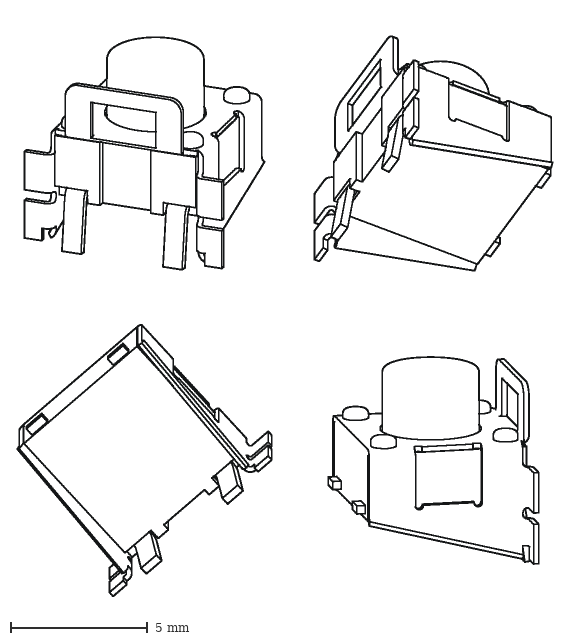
import cadquery as cq
import math


SHEET = 0.2
BEND_IN = 0.1
BEND_OUT = BEND_IN + SHEET

WALL_OUT = 3.0
WALL_IN = WALL_OUT - SHEET
BACK_Y = 2.98
WALL_FRONT_Y = -2.775
HEM_SLOPE = 15.0
HEM_START_Z = -2.47
HEM_ANGLE = 62.0
HEM_IN = 0.19
HEM_OUT = HEM_IN + SHEET
HOLE_DIA = 3.7

WINDOW_HALF = 1.25
WINDOW_BOTTOM_Z = -2.15
RELIEF_WIDTH = 0.295
RELIEF_BOTTOM_Z = -2.31
RELIEF_END_X = 2.66

FRONT_IN_Y = -2.97
FRONT_OUT_Y = FRONT_IN_Y - SHEET
FRONT_BEND_Y = FRONT_OUT_Y + BEND_OUT

TAB_HALF = 2.285
TAB_TOP_Z = 2.01
TAB_CORNER = 0.5
TAB_WINDOW_HALF = 1.28
TAB_WINDOW_TOP_Z = 1.42
FLARE_HALF = WALL_IN

SOLDER_TIP_X = 3.885
SOLDER_TOP_Z = -0.93
SOLDER_GAP_TOP_Z = -2.45
SOLDER_GAP = 0.42
SOLDER_BEND_BOTTOM_Z = -3.87
SOLDER_FOOT_Z = -4.36
SOLDER_FOOT_X = 3.21
SOLDER_NOTCH_RADIUS = 0.195

BODY_HALF_X = 2.77
BODY_TOP_Z = -SHEET
BODY_BOTTOM_Z = -2.7
RECESS_HALF = 0.995
RECESS_DEPTH = 0.25

BUTTON_DIA = 3.55
BUTTON_TOP_Z = 2.3
BUTTON_EDGE = 0.2
RIVET_PITCH = 4.58
RIVET_DIA = 0.95
SMALL_RIVET_DIA = 0.9
RIVET_TOP_Z = 0.34
RIVET_EDGE = 0.195

PIN_X = 1.99
PIN_WIDTH = 0.75
PIN_THICK = 0.3
PIN_TOP_Z = -2.2
PIN_BOTTOM_Z = -4.64
PIN_BEND_IN = 0.15
PIN_BEND_OUT = PIN_BEND_IN + PIN_THICK
PIN_TILT = math.radians(8.0)
PIN_FRONT_Y = -3.295
PIN_BACK_Y = 3.3
PIN_ROOT = 0.23
POCKET_INNER_X = 1.49


def block(x0, x1, y0, y1, z0, z1):
    """Box given by its limits along each axis."""
    return cq.Workplane("XY").box(x1 - x0, y1 - y0, z1 - z0, centered=False).translate((x0, y0, z0))


def both_sides(shape):
    """The shape together with its mirror image across the YZ plane."""
    return shape.union(shape.mirror("YZ"))


def hem_z(y):
    """Height at which the hem bend begins on the side wall."""
    return HEM_START_Z - (BACK_Y - y) * math.tan(math.radians(HEM_SLOPE))


def arc_point(centre, radius, angle):
    return (centre[0] + radius * math.cos(angle), centre[1] + radius * math.sin(angle))


def make_channel():
    """Top plate and two side walls with a sloped lower edge."""
    lowest = hem_z(WALL_FRONT_Y)
    outer = block(-WALL_OUT, WALL_OUT, WALL_FRONT_Y, BACK_Y, lowest, 0).edges("|Y and >Z").fillet(BEND_OUT)
    inner = block(-WALL_IN, WALL_IN, WALL_FRONT_Y, BACK_Y, lowest, -SHEET).edges("|Y and >Z").fillet(BEND_IN)
    below_slope = (
        cq.Workplane("YZ")
        .polyline([(BACK_Y, HEM_START_Z), (BACK_Y, lowest), (WALL_FRONT_Y, lowest)])
        .close()
        .extrude(WALL_OUT, both=True)
    )
    lip = block(-FLARE_HALF, FLARE_HALF, FRONT_BEND_Y, WALL_FRONT_Y, -SHEET, 0)
    return outer.cut(inner).cut(below_slope).union(lip)


def make_hem():
    """Lower wall edge curled outwards, following the slope (+X side)."""
    turn = math.radians(HEM_ANGLE)
    slope = math.radians(HEM_SLOPE)
    centre = (-WALL_OUT - HEM_IN, 0)
    length = (BACK_Y - WALL_FRONT_Y) / math.cos(slope)
    spare = 2 * HEM_OUT
    plane = cq.Plane(
        origin=(0, WALL_FRONT_Y, hem_z(WALL_FRONT_Y)),
        xDir=(-1, 0, 0),
        normal=(0, math.cos(slope), math.sin(slope)),
    )
    hem = (
        cq.Workplane(plane)
        .workplane(offset=-spare)
        .moveTo(-WALL_IN, 0)
        .threePointArc(arc_point(centre, HEM_OUT, -turn / 2), arc_point(centre, HEM_OUT, -turn))
        .lineTo(*arc_point(centre, HEM_IN, -turn))
        .threePointArc(arc_point(centre, HEM_IN, -turn / 2), (-WALL_OUT, 0))
        .close()
        .extrude(length + 2 * spare)
    )
    return hem.intersect(block(0, SOLDER_TIP_X, WALL_FRONT_Y, BACK_Y, PIN_BOTTOM_Z, 0))


def make_side_window():
    """Cutter for a side-wall opening with a relief slot at each end (+X side)."""
    through_top = block(WALL_IN, WALL_OUT, -WINDOW_HALF, WINDOW_HALF, WINDOW_BOTTOM_Z, 0)
    beside_body = block(
        BODY_HALF_X, WALL_OUT, -WINDOW_HALF, WINDOW_HALF, WINDOW_BOTTOM_Z, BODY_TOP_Z
    )
    opening = through_top.union(beside_body)
    radius = RELIEF_WIDTH / 2
    round_z = RELIEF_BOTTOM_Z + radius
    round_x = RELIEF_END_X + radius
    for side in (-1, 1):
        y = side * (WINDOW_HALF - radius)
        slot = block(BODY_HALF_X, WALL_OUT, y - radius, y + radius, round_z, 0)
        lower_end = (
            cq.Workplane("YZ")
            .workplane(offset=BODY_HALF_X)
            .center(y, round_z)
            .circle(radius)
            .extrude(WALL_OUT - BODY_HALF_X)
        )
        inner_end = cq.Workplane("XY").center(round_x, y).circle(radius).extrude(-SHEET)
        opening = opening.union(slot).union(lower_end).union(inner_end)
    return opening


def make_upright_tab():
    """Tab bent up from the front edge of the cover, with a window."""
    centre = (FRONT_BEND_Y, BEND_IN)
    middle = math.radians(225)

    def strip(half_width, top):
        return (
            cq.Workplane("YZ")
            .moveTo(FRONT_BEND_Y, -SHEET)
            .threePointArc(arc_point(centre, BEND_OUT, middle), (FRONT_OUT_Y, BEND_IN))
            .lineTo(FRONT_OUT_Y, top)
            .lineTo(FRONT_IN_Y, top)
            .lineTo(FRONT_IN_Y, BEND_IN)
            .threePointArc(arc_point(centre, BEND_IN, middle), (FRONT_BEND_Y, 0))
            .close()
            .extrude(half_width, both=True)
        )

    tab = strip(TAB_HALF, TAB_TOP_Z).edges("|Y and >Z").fillet(TAB_CORNER)
    flare_area = (
        cq.Workplane("XY")
        .workplane(offset=-SHEET)
        .polyline([
            (-FLARE_HALF, FRONT_BEND_Y), (FLARE_HALF, FRONT_BEND_Y),
            (TAB_HALF, FRONT_IN_Y), (-TAB_HALF, FRONT_IN_Y),
        ])
        .close()
        .extrude(BEND_OUT)
    )
    flare = strip(FLARE_HALF, BEND_OUT).intersect(flare_area)
    window = block(
        -TAB_WINDOW_HALF, TAB_WINDOW_HALF, FRONT_OUT_Y, FRONT_BEND_Y, 0, TAB_WINDOW_TOP_Z
    )
    return tab.union(flare).cut(window)


def make_solder_tabs():
    """Wall extension bent outwards and split into two solder tabs (+X side)."""
    centre = (WALL_IN + BEND_OUT, FRONT_BEND_Y)
    middle = math.radians(225)
    top = SOLDER_TOP_Z + SOLDER_NOTCH_RADIUS
    strip = (
        cq.Workplane("XY")
        .workplane(offset=SOLDER_FOOT_Z)
        .moveTo(WALL_IN, WALL_FRONT_Y)
        .lineTo(WALL_IN, FRONT_BEND_Y)
        .threePointArc(arc_point(centre, BEND_OUT, middle), (centre[0], FRONT_OUT_Y))
        .lineTo(SOLDER_TIP_X, FRONT_OUT_Y)
        .lineTo(SOLDER_TIP_X, FRONT_IN_Y)
        .lineTo(centre[0], FRONT_IN_Y)
        .threePointArc(arc_point(centre, BEND_IN, middle), (WALL_OUT, FRONT_BEND_Y))
        .lineTo(WALL_OUT, WALL_FRONT_Y)
        .close()
        .extrude(top - SOLDER_FOOT_Z)
    )

    def rounded_notch(bottom):
        """Notch across the tabs, rounded where it meets the wall edge."""
        notch = block(0, SOLDER_TIP_X, FRONT_OUT_Y, WALL_FRONT_Y, bottom, bottom + SOLDER_GAP)
        return notch.edges("|X and >Y").fillet(SOLDER_NOTCH_RADIUS)

    foot_relief = block(
        0, SOLDER_FOOT_X, FRONT_OUT_Y, WALL_FRONT_Y, SOLDER_FOOT_Z, SOLDER_BEND_BOTTOM_Z
    )
    return (
        strip
        .cut(rounded_notch(SOLDER_TOP_Z))
        .cut(rounded_notch(SOLDER_GAP_TOP_Z - SOLDER_GAP))
        .cut(foot_relief)
    )


def make_cover():
    hole = cq.Workplane("XY").circle(HOLE_DIA / 2).extrude(-SHEET)
    ledge_half = WINDOW_HALF - RELIEF_WIDTH
    window_ledge = block(-WALL_IN, WALL_IN, -ledge_half, ledge_half, -SHEET, 0)
    return (
        make_channel()
        .union(both_sides(make_hem()))
        .union(make_upright_tab())
        .union(both_sides(make_solder_tabs()))
        .cut(both_sides(make_side_window()))
        .union(window_ledge)
        .cut(hole)
    )


def make_front_pin():
    """Terminal bent downwards and leaning forwards; returned with the Y of its bend centre."""
    centre_z = PIN_TOP_Z - PIN_BEND_OUT
    leg = (centre_z + PIN_BEND_IN * math.sin(PIN_TILT) - PIN_BOTTOM_Z) / math.cos(PIN_TILT)
    leg_y = -leg * math.sin(PIN_TILT)
    leg_z = -leg * math.cos(PIN_TILT)
    centre_y = PIN_FRONT_Y + PIN_BEND_OUT * math.cos(PIN_TILT) - leg_y
    centre = (centre_y, centre_z)
    end = math.pi - PIN_TILT
    middle = (math.pi / 2 + end) / 2
    outer = arc_point(centre, PIN_BEND_OUT, end)
    inner = arc_point(centre, PIN_BEND_IN, end)
    pin = (
        cq.Workplane("YZ")
        .moveTo(centre_y + PIN_ROOT, PIN_TOP_Z)
        .lineTo(centre_y, PIN_TOP_Z)
        .threePointArc(arc_point(centre, PIN_BEND_OUT, middle), outer)
        .lineTo(outer[0] + leg_y, outer[1] + leg_z)
        .lineTo(inner[0] + leg_y, inner[1] + leg_z)
        .lineTo(*inner)
        .threePointArc(arc_point(centre, PIN_BEND_IN, middle), (centre_y, PIN_TOP_Z - PIN_THICK))
        .lineTo(centre_y + PIN_ROOT, PIN_TOP_Z - PIN_THICK)
        .close()
        .extrude(PIN_WIDTH / 2, both=True)
        .translate((PIN_X, 0, 0))
    )
    return pin, centre_y


def make_body():
    """Moulded body with its four terminals."""
    front_pin, pocket_back_y = make_front_pin()
    back_pin = block(
        PIN_X - PIN_WIDTH / 2, PIN_X + PIN_WIDTH / 2,
        BACK_Y - PIN_ROOT, PIN_BACK_Y, PIN_TOP_Z - PIN_THICK, PIN_TOP_Z,
    )
    pocket = block(
        POCKET_INNER_X, BODY_HALF_X, FRONT_IN_Y, pocket_back_y, BODY_BOTTOM_Z, PIN_TOP_Z
    )
    recess = block(
        -RECESS_HALF, RECESS_HALF, FRONT_IN_Y, FRONT_IN_Y + RECESS_DEPTH, BODY_BOTTOM_Z, BODY_TOP_Z
    )
    return (
        block(-BODY_HALF_X, BODY_HALF_X, FRONT_IN_Y, BACK_Y, BODY_BOTTOM_Z, BODY_TOP_Z)
        .cut(recess)
        .cut(both_sides(pocket))
        .union(both_sides(front_pin))
        .union(both_sides(back_pin))
    )


def make_stud(x, y, diameter, top, edge):
    """Round stud standing on the body, with a rounded top edge."""
    return (
        cq.Workplane("XY")
        .workplane(offset=BODY_TOP_Z)
        .center(x, y)
        .circle(diameter / 2)
        .extrude(top - BODY_TOP_Z)
        .faces(">Z")
        .edges()
        .fillet(edge)
    )


result = make_body().union(make_cover())
result = result.union(make_stud(0, 0, BUTTON_DIA, BUTTON_TOP_Z, BUTTON_EDGE))
for side_x in (-1, 1):
    for side_y in (-1, 1):
        is_small = side_x < 0 and side_y < 0
        rivet_dia = SMALL_RIVET_DIA if is_small else RIVET_DIA
        rivet = make_stud(
            side_x * RIVET_PITCH / 2, side_y * RIVET_PITCH / 2, rivet_dia, RIVET_TOP_Z, RIVET_EDGE
        )
        result = result.union(rivet)